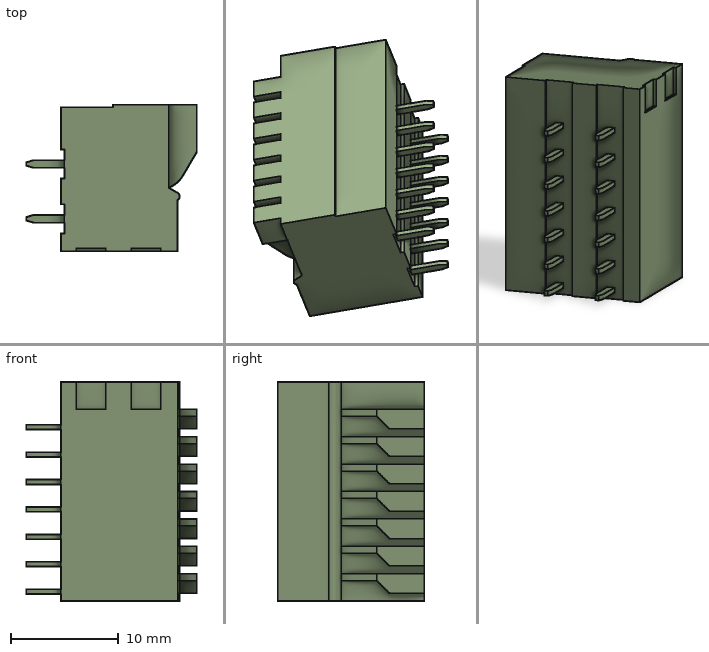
import cadquery as cq


height = 20.32
positions = 7
rows = 2
pitch = height / (positions + 1)
row_pitch = rows * pitch
depth = 13.6
back_step_height = 0.25
back_step_x = 4.82
lever_side_x = 10.02
front_side_x = 10.83

lip_bottom_y = 4.73
lip_crest = (front_side_x + 0.18, 5.05)
lip_arc_end = (10.7, 5.49)
lip_top_y = 5.9

channel_depth = 0.33
channel_width = 2.68
first_row_y = 3.0

recess_width = 2.72
recess_height = pitch
recess_depth = 0.26
first_recess_x = 2.8

pin_reach = 3.21
pin_width = 0.73
pin_thickness = 0.47
pin_tip_width = 0.33
pin_taper = 0.67
first_pin_z = 0.87

lever_end_x = 12.6
lever_height = 1.83
lever_plate = 0.65
lever_nose_mid = (10.8, 6.35)
lever_corner = (11.35, 7.07)
lever_shoulder_y = 9.18
first_lever_top_z = pitch

overlap = 0.2

row_ys = [first_row_y + i * row_pitch for i in range(rows)]


def make_housing():
    """Housing body: one plan outline over the full height."""
    back_y = depth - back_step_height
    return (
        cq.Workplane("XY")
        .lineTo(front_side_x, 0)
        .lineTo(front_side_x, lip_bottom_y)
        .threePointArc(lip_crest, lip_arc_end)
        .lineTo(lever_side_x, lip_top_y)
        .lineTo(lever_side_x, depth)
        .lineTo(back_step_x, depth)
        .lineTo(back_step_x, back_y)
        .lineTo(0, back_y)
        .close()
        .extrude(height)
    )


def make_channel(row_y):
    """Full-height cutter for the channel around one pin row."""
    channel = cq.Workplane("XY").box(2 * channel_depth, channel_width, height)
    return channel.translate((0, row_y, height / 2))


def make_recess(x):
    """Cutter for one recess at the top of the Y = 0 face."""
    recess = cq.Workplane("XY").box(recess_width, 2 * recess_depth, 2 * recess_height)
    return recess.translate((x, 0, height))


def make_pin(row_y, z):
    """One pin centred on (row_y, z), pointing toward -X."""
    root_x = channel_depth + overlap
    taper_x = pin_taper - pin_reach
    half_width = pin_width / 2
    half_tip = pin_tip_width / 2
    return (
        cq.Workplane("XY", origin=(0, row_y, z - pin_thickness / 2))
        .moveTo(-pin_reach, -half_tip)
        .lineTo(taper_x, -half_width)
        .lineTo(root_x, -half_width)
        .lineTo(root_x, half_width)
        .lineTo(taper_x, half_width)
        .lineTo(-pin_reach, half_tip)
        .close()
        .extrude(pin_thickness)
    )


def make_lever(top_z):
    """One lever whose flat top lies at top_z."""
    root_x = lever_side_x - overlap
    bottom_z = top_z - lever_height
    plate_z = top_z - lever_plate
    block_y = lever_shoulder_y + plate_z - bottom_z
    plan = (
        cq.Workplane("XY", origin=(0, 0, bottom_z))
        .moveTo(root_x, lip_top_y)
        .lineTo(lever_side_x, lip_top_y)
        .threePointArc(lever_nose_mid, lever_corner)
        .lineTo(lever_end_x, lever_shoulder_y)
        .lineTo(lever_end_x, depth)
        .lineTo(root_x, depth)
        .close()
        .extrude(lever_height)
    )
    side_profile = (
        cq.Workplane("YZ", origin=(root_x, 0, 0))
        .moveTo(lip_top_y, top_z)
        .lineTo(lip_top_y, plate_z)
        .lineTo(lever_shoulder_y, plate_z)
        .lineTo(block_y, bottom_z)
        .lineTo(depth, bottom_z)
        .lineTo(depth, top_z)
        .close()
        .extrude(lever_end_x - root_x)
    )
    return plan.intersect(side_profile)


result = make_housing()

for row_index, row_y in enumerate(row_ys):
    result = result.cut(make_channel(row_y))
    result = result.cut(make_recess(first_recess_x + row_index * row_pitch))

for position in range(positions):
    rise = position * pitch
    for row_y in row_ys:
        result = result.union(make_pin(row_y, first_pin_z + rise))
    result = result.union(make_lever(first_lever_top_z + rise))